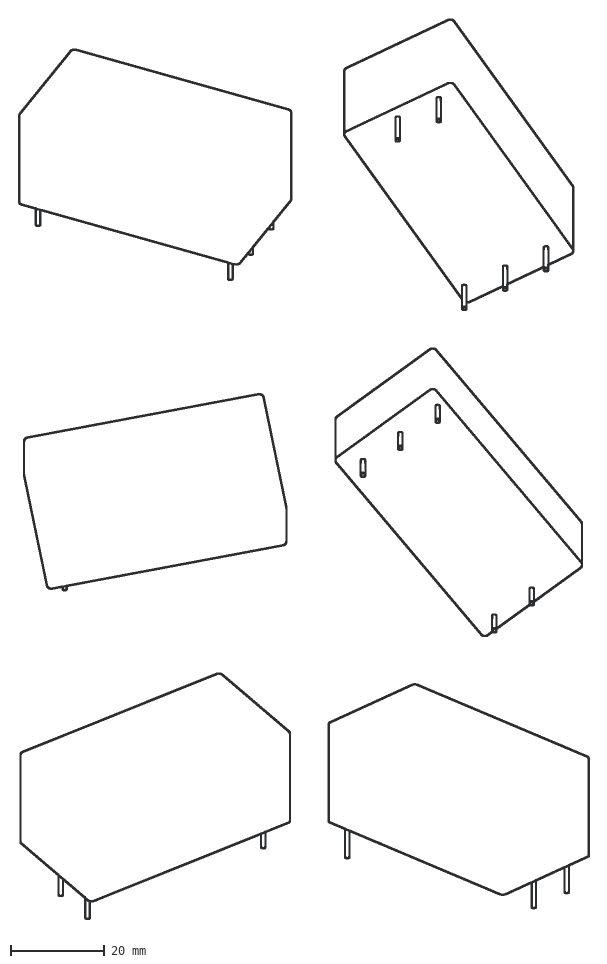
import cadquery as cq

housing_length = 52.4
housing_width = 27.2
overall_height = 31.5
pin_length = 8.0
housing_height = overall_height - pin_length
corner_radius = 1.0
top_edge_radius = 0.5

grid = 2.54
pin_diameter = 1.0
pin_tip_chamfer = 0.1
pin_pitch = 4 * grid
row_spacing = 18 * grid
left_row_x = -23.65
right_row_x = left_row_x + row_spacing
first_pin_y = -8.8
left_row_count = 2
right_row_count = 3


def make_housing():
    """Block with rounded vertical corners and a rounded top rim."""
    block = cq.Workplane("XY").box(
        housing_length, housing_width, housing_height, centered=(True, True, False)
    )
    block = block.edges("|Z").fillet(corner_radius)
    return block.faces(">Z").edges().fillet(top_edge_radius)


def make_pin(x, y):
    """Round pin hanging from the housing underside, chamfered at its free end."""
    pin = cq.Workplane("XY").center(x, y).circle(pin_diameter / 2).extrude(-pin_length)
    return pin.faces("<Z").edges().chamfer(pin_tip_chamfer)


def make_pin_row(x, count):
    """Separate pins at equal pitch along Y, starting at the -Y end of the row."""
    return [make_pin(x, first_pin_y + i * pin_pitch) for i in range(count)]


housing = make_housing()
pins = make_pin_row(left_row_x, left_row_count) + make_pin_row(right_row_x, right_row_count)

result = cq.Compound.makeCompound([housing.val()] + [pin.val() for pin in pins])